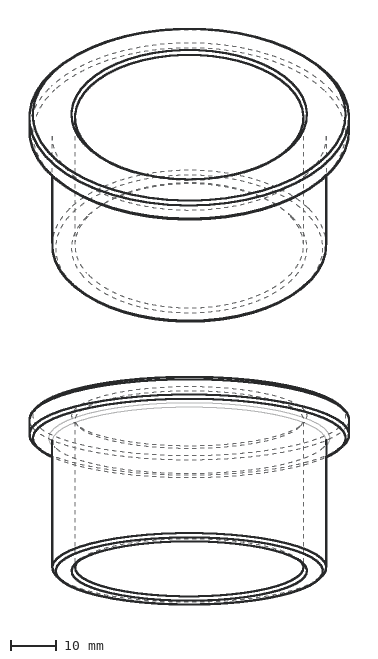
import cadquery as cq

flange_diameter = 70.0
sleeve_diameter = 60.0
bore_diameter = 50.0
total_height = 35.0
flange_thickness = 5.0
edge_chamfer = 0.8
neck_fillet = 0.8

flange_radius = flange_diameter / 2
sleeve_radius = sleeve_diameter / 2
bore_radius = bore_diameter / 2
flange_bottom = total_height - flange_thickness

arc_inset = neck_fillet * (1 - 0.5 ** 0.5)
section = (
    cq.Workplane("XZ")
    .moveTo(bore_radius, edge_chamfer)
    .lineTo(bore_radius + edge_chamfer, 0)
    .lineTo(sleeve_radius - edge_chamfer, 0)
    .lineTo(sleeve_radius, edge_chamfer)
    .lineTo(sleeve_radius, flange_bottom - neck_fillet)
    .threePointArc(
        (sleeve_radius + arc_inset, flange_bottom - arc_inset),
        (sleeve_radius + neck_fillet, flange_bottom),
    )
    .lineTo(flange_radius - edge_chamfer, flange_bottom)
    .lineTo(flange_radius, flange_bottom + edge_chamfer)
    .lineTo(flange_radius, total_height - edge_chamfer)
    .lineTo(flange_radius - edge_chamfer, total_height)
    .lineTo(bore_radius + edge_chamfer, total_height)
    .lineTo(bore_radius, total_height - edge_chamfer)
    .close()
)

result = section.revolve(360, (0, 0, 0), (0, 1, 0))